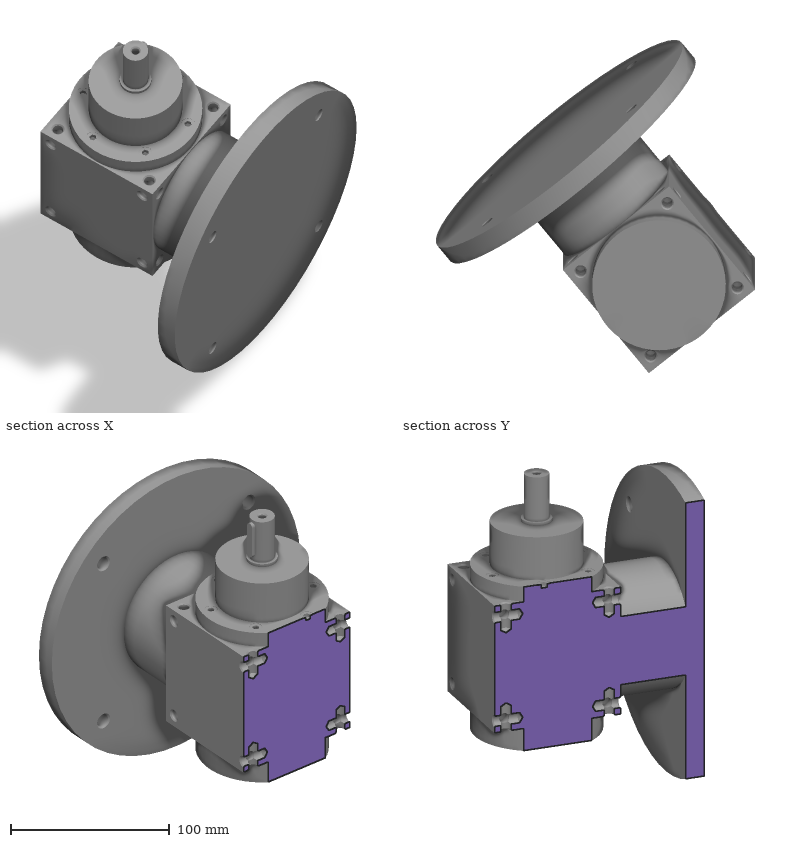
import cadquery as cq
import math

TOTAL_HEIGHT = 214.0

BLOCK_SIZE = 86.0
HALF_BLOCK = BLOCK_SIZE / 2

NECK_DIAMETER = 84.0
BASE_LENGTH = 15.0
COVER_THICKNESS = 10.0
HUB_DIAMETER = 59.0
HUB_LENGTH = 28.9

FLANGE_DIAMETER = 200.0
FLANGE_THICKNESS = 13.0
FLANGE_FACE_X = 100.0
FLANGE_HOLE_OFFSET = 58.5
FLANGE_HOLE_DIAMETER = 8.5
FLANGE_HOLE_MOUTH = 10.5

CORNER_HOLE_OFFSET = 35.0
CORNER_HOLE_DIAMETER = 6.6
CORNER_HOLE_MOUTH = 8.3
CORNER_HOLE_DEPTH = 17.1

SCREW_COUNT = 6
SCREW_CIRCLE_RADIUS = 35.0
FIRST_SCREW_ANGLE = 15
SCREW_RECESS_DIAMETER = 8.5
SCREW_RECESS_DEPTH = 0.2
SOCKET_ACROSS_FLATS = 4.0
SOCKET_DEPTH = 2.5

COLLAR_DIAMETER = 20.0
SHAFT_DIAMETER = 16.0
SHAFT_LENGTH = 30.0
SHAFT_HOLE_DIAMETER = 5.0
SHAFT_HOLE_MOUTH = 6.6
SHAFT_HOLE_DEPTH = 12.8

KEY_WIDTH = 5.0
KEY_LENGTH = 25.0
KEY_HEIGHT = 5.0
KEY_OUTER_Y = 10.0
KEY_END_GAP = 2.0

DRILL_POINT_ANGLE = 118

COVER_TOP = HALF_BLOCK + COVER_THICKNESS
HUB_TOP = COVER_TOP + HUB_LENGTH
SHAFT_TOP = TOTAL_HEIGHT - FLANGE_DIAMETER / 2
COLLAR_TOP = SHAFT_TOP - SHAFT_LENGTH


def cylinder_z(diameter, bottom, top):
    """Upright cylinder on the Z axis between two levels."""
    return cq.Workplane("XY").workplane(offset=bottom).circle(diameter / 2).extrude(top - bottom)


def cylinder_x(diameter, start, end):
    """Cylinder on the X axis between two positions."""
    return cq.Workplane("YZ").workplane(offset=start).circle(diameter / 2).extrude(end - start)


def tapped_hole(diameter, mouth_diameter, depth):
    """Cutter for a blind hole along -Z from the origin: 45 degree mouth, bore, conical drill point."""
    radius = diameter / 2
    mouth_radius = mouth_diameter / 2
    chamfer = mouth_radius - radius
    point_length = radius / math.tan(math.radians(DRILL_POINT_ANGLE / 2))
    return (
        cq.Workplane("XZ")
        .polyline([
            (0, 0),
            (mouth_radius, 0),
            (radius, -chamfer),
            (radius, -depth),
            (0, -depth - point_length),
        ])
        .close()
        .revolve(360, (0, 0, 0), (0, 1, 0))
    )


def corner_holes():
    """Four tapped-hole cutters on the top face of the block."""
    hole = tapped_hole(CORNER_HOLE_DIAMETER, CORNER_HOLE_MOUTH, CORNER_HOLE_DEPTH).val()
    return (
        cq.Workplane("XY")
        .workplane(offset=HALF_BLOCK)
        .rect(2 * CORNER_HOLE_OFFSET, 2 * CORNER_HOLE_OFFSET, forConstruction=True)
        .vertices()
        .eachpoint(lambda location: hole.moved(location))
    )


def make_block():
    """Cube with four tapped holes in every face."""
    block = cq.Workplane("XY").box(BLOCK_SIZE, BLOCK_SIZE, BLOCK_SIZE)
    for angle in (0, 90, 180, 270):
        block = block.cut(corner_holes().rotate((0, 0, 0), (1, 0, 0), angle))
    for angle in (90, -90):
        block = block.cut(corner_holes().rotate((0, 0, 0), (0, 1, 0), angle))
    return block


def make_cover():
    """Round cover with its bearing hub and a ring of socket screws."""
    cover = cylinder_z(NECK_DIAMETER, HALF_BLOCK, COVER_TOP)
    screws = (
        cq.Workplane("XY")
        .workplane(offset=COVER_TOP)
        .polarArray(SCREW_CIRCLE_RADIUS, FIRST_SCREW_ANGLE, 360, SCREW_COUNT)
    )
    recesses = screws.circle(SCREW_RECESS_DIAMETER / 2).extrude(-SCREW_RECESS_DEPTH)
    socket_corner_diameter = SOCKET_ACROSS_FLATS / math.cos(math.pi / 6)
    sockets = screws.polygon(6, socket_corner_diameter).extrude(-SOCKET_DEPTH)
    hub = cylinder_z(HUB_DIAMETER, COVER_TOP, HUB_TOP)
    return cover.cut(recesses).cut(sockets).union(hub)


def make_flange():
    """Mounting flange with four through holes, chamfered at the inner face."""
    inner_face_x = FLANGE_FACE_X - FLANGE_THICKNESS
    flange = cylinder_x(FLANGE_DIAMETER, inner_face_x, FLANGE_FACE_X)
    return (
        flange.faces("<X")
        .workplane(origin=(inner_face_x, 0, 0))
        .rect(2 * FLANGE_HOLE_OFFSET, 2 * FLANGE_HOLE_OFFSET, forConstruction=True)
        .vertices()
        .cskHole(FLANGE_HOLE_DIAMETER, FLANGE_HOLE_MOUTH, 90)
    )


def make_housing():
    """Block, base, cover and flanged neck as one solid."""
    base = cylinder_z(NECK_DIAMETER, -HALF_BLOCK - BASE_LENGTH, -HALF_BLOCK)
    neck = cylinder_x(NECK_DIAMETER, HALF_BLOCK, FLANGE_FACE_X - FLANGE_THICKNESS)
    return make_block().union(base).union(make_cover()).union(neck).union(make_flange())


def make_key():
    """Round-ended parallel key lying along the shaft."""
    key_centre_z = SHAFT_TOP - KEY_END_GAP - KEY_LENGTH / 2
    return (
        cq.Workplane("XZ", origin=(0, KEY_OUTER_Y, key_centre_z))
        .slot2D(KEY_LENGTH, KEY_WIDTH, 90)
        .extrude(KEY_HEIGHT)
    )


def make_shaft(key):
    """Collared shaft with a tapped end hole and a keyway that matches the key."""
    collar = cylinder_z(COLLAR_DIAMETER, HUB_TOP, COLLAR_TOP)
    journal = cylinder_z(SHAFT_DIAMETER, COLLAR_TOP, SHAFT_TOP)
    end_hole = tapped_hole(SHAFT_HOLE_DIAMETER, SHAFT_HOLE_MOUTH, SHAFT_HOLE_DEPTH)
    return collar.union(journal).cut(end_hole.translate((0, 0, SHAFT_TOP))).cut(key)


housing = make_housing()
key = make_key()
shaft = make_shaft(key)

result = cq.Compound.makeCompound([housing.val(), shaft.val(), key.val()])